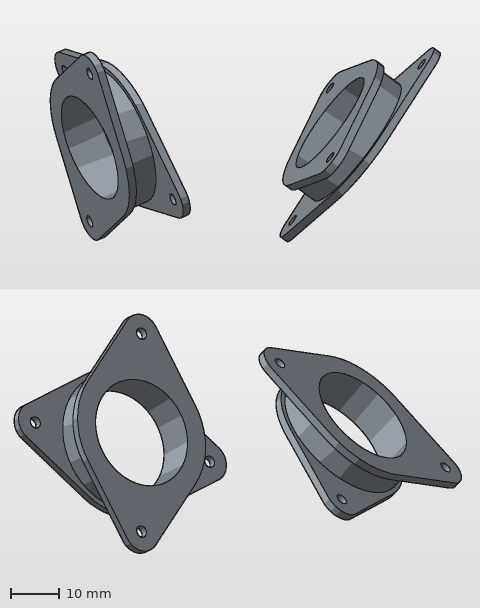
import cadquery as cq
import math

span = 52.0
total_depth = 8.8
flange_thickness = 1.7
hub_radius = 16.0
tip_radius = 4.2
tube_radius = 15.0
bore_radius = 11.5
screw_hole_diameter = 2.45

hole_offset = span / 2 - tip_radius
tangent_angle = math.asin((hub_radius - tip_radius) / hole_offset)


def cylinder(radius, depth):
    """Cylinder along +Y, starting at Y = 0."""
    return cq.Workplane("XZ").circle(radius).extrude(-depth)


def flange():
    """Vertical two-hole flange: a round hub joined to both tips by tangent lines."""
    normal_x = math.cos(tangent_angle)
    normal_z = math.sin(tangent_angle)
    hub_x = hub_radius * normal_x
    hub_z = hub_radius * normal_z
    tip_x = tip_radius * normal_x
    tip_z = hole_offset + tip_radius * normal_z
    plate = (
        cq.Workplane("XZ")
        .moveTo(hub_x, hub_z)
        .lineTo(tip_x, tip_z)
        .threePointArc((0, span / 2), (-tip_x, tip_z))
        .lineTo(-hub_x, hub_z)
        .threePointArc((-hub_radius, 0), (-hub_x, -hub_z))
        .lineTo(-tip_x, -tip_z)
        .threePointArc((0, -span / 2), (tip_x, -tip_z))
        .lineTo(hub_x, -hub_z)
        .threePointArc((hub_radius, 0), (hub_x, hub_z))
        .close()
        .extrude(-flange_thickness)
    )
    screw_holes = (
        cq.Workplane("XZ")
        .pushPoints([(0, hole_offset), (0, -hole_offset)])
        .circle(screw_hole_diameter / 2)
        .extrude(-flange_thickness)
    )
    return plate.cut(screw_holes)


front_flange = flange()
rear_flange = (
    flange()
    .rotate((0, 0, 0), (0, 1, 0), 90)
    .translate((0, total_depth - flange_thickness, 0))
)
tube = cylinder(tube_radius, total_depth)
bore = cylinder(bore_radius, total_depth)

result = tube.union(front_flange).union(rear_flange).cut(bore)